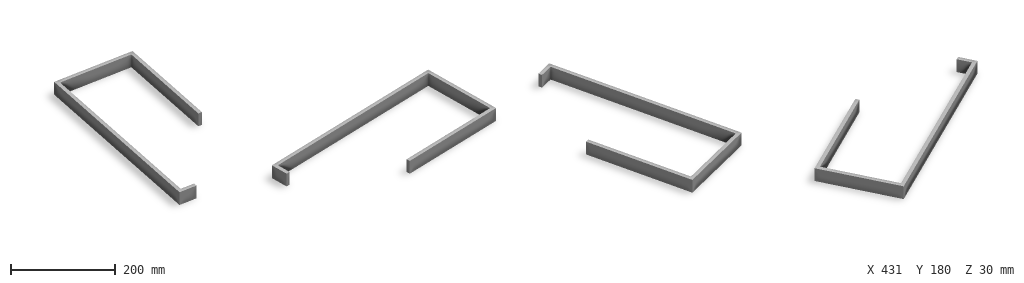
import cadquery as cq

length = 431.0
width = 180.0
height = 30.0

bar_thickness = 8.0
back_arm_length = 238.5
hook_length = 39.2

left = -length / 2
right = length / 2
front = -width / 2
back = width / 2

outline = [
    (left, front),
    (right, front),
    (right, front + hook_length),
    (right - bar_thickness, front + hook_length),
    (right - bar_thickness, front + bar_thickness),
    (left + bar_thickness, front + bar_thickness),
    (left + bar_thickness, back - bar_thickness),
    (left + back_arm_length, back - bar_thickness),
    (left + back_arm_length, back),
    (left, back),
]

result = cq.Workplane("XY").polyline(outline).close().extrude(height)